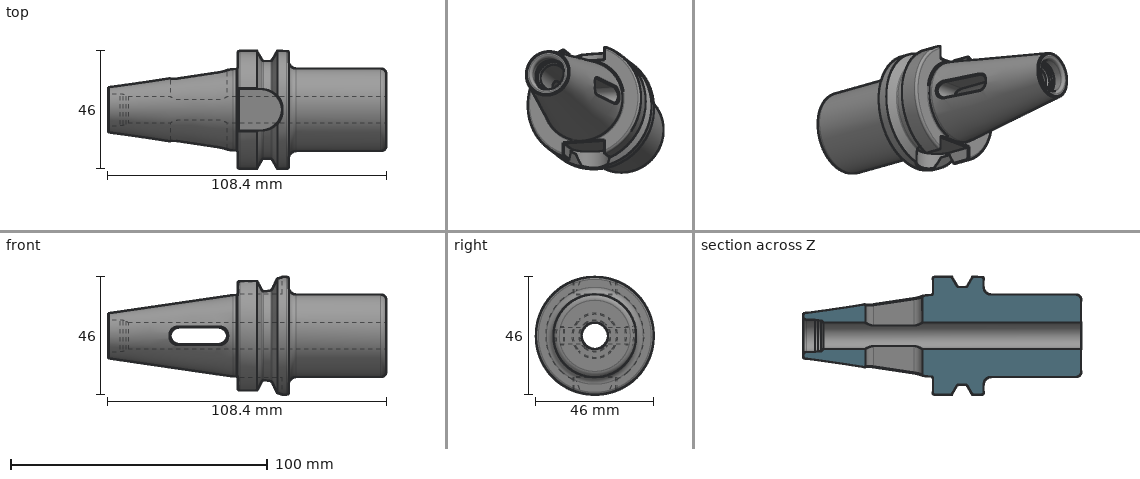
import cadquery as cq
import math

total_length = 108.4
taper_length = 48.4
gauge_diameter = 31.75
taper_ratio = 7 / 24
small_radius = (gauge_diameter - taper_length * taper_ratio) / 2
small_end_chamfer = 0.4


def cone_radius(x):
    """Radius of the outside cone at a distance x from the small end."""
    return small_radius + x * taper_ratio / 2


flange_radius = 23.0
gauge_to_flange = 2.0
flange_width = 20.0
flange_front = taper_length + gauge_to_flange
flange_back = flange_front + flange_width
flange_edge = 1.0
collar_overrun = 0.3
collar_start = taper_length + collar_overrun
collar_radius = cone_radius(collar_start)
collar_root_radius = 0.5

groove_bottom_radius = 19.1
groove_center = 61.9
groove_bottom_width = 3.5
groove_flank_angle = 30.0
groove_corner_radius = 0.5
groove_flank_run = (flange_radius - groove_bottom_radius) * math.tan(math.radians(groove_flank_angle))
groove_bottom_front = groove_center - groove_bottom_width / 2
groove_bottom_back = groove_center + groove_bottom_width / 2
groove_front = groove_bottom_front - groove_flank_run
groove_back = groove_bottom_back + groove_flank_run

nose_radius = 16.15
nose_edge_radius = 2.3
nose_root_radius = 2.75

mouth_radius = 1.25
pilot_radius = 6.25
pilot_end = 4.6
bore_step_count = 2
bore_step_length = 1.2
bore_step_height = 0.15
bore_radius = 5.1
bore_cone_start = pilot_end + bore_step_count * bore_step_length
bore_cone_start_radius = pilot_radius - bore_step_count * bore_step_height
bore_cone_end = bore_cone_start + bore_cone_start_radius - bore_radius

keyway_width = 16.1
keyway_floor = 16.3
keyway_end = 67.7
keyway_chamfer = 0.5
keyway_end_chamfer = 0.3

slot_start = 24.3
slot_length = 22.0
slot_width = 6.3
slot_chamfer = 0.5

margin = 1.0


def box_between(corner, opposite):
    """Edge selector for a box given by any two opposite corners."""
    low = tuple(min(pair) for pair in zip(corner, opposite))
    high = tuple(max(pair) for pair in zip(corner, opposite))
    return cq.selectors.BoxSelector(low, high)


def make_body():
    """Turned outside shape: cone, flange with V-groove, and nose."""
    profile = (
        cq.Workplane("XZ")
        .moveTo(0, 0)
        .lineTo(0, small_radius - small_end_chamfer)
        .lineTo(small_end_chamfer, cone_radius(small_end_chamfer))
        .lineTo(collar_start, collar_radius)
        .lineTo(flange_front - collar_root_radius, collar_radius)
        .radiusArc((flange_front, collar_radius + collar_root_radius), -collar_root_radius)
        .lineTo(flange_front, flange_radius - flange_edge)
        .radiusArc((flange_front + flange_edge, flange_radius), flange_edge)
        .lineTo(groove_front, flange_radius)
        .lineTo(groove_bottom_front, groove_bottom_radius)
        .lineTo(groove_bottom_back, groove_bottom_radius)
        .lineTo(groove_back, flange_radius)
        .lineTo(flange_back - flange_edge, flange_radius)
        .radiusArc((flange_back, flange_radius - flange_edge), flange_edge)
        .lineTo(flange_back, nose_radius + nose_root_radius)
        .radiusArc((flange_back + nose_root_radius, nose_radius), -nose_root_radius)
        .lineTo(total_length - nose_edge_radius, nose_radius)
        .radiusArc((total_length, nose_radius - nose_edge_radius), nose_edge_radius)
        .lineTo(total_length, 0)
        .close()
    )
    body = profile.revolve(360, (0, 0, 0), (1, 0, 0))
    groove_bottom = box_between(
        (groove_bottom_front - margin, -flange_radius, -flange_radius),
        (groove_bottom_back + margin, flange_radius, flange_radius),
    )
    return body.edges(groove_bottom).edges("%CIRCLE").fillet(groove_corner_radius)


def make_bore():
    """Through hole with a round-mouthed, stepped pilot bore at the small end."""
    profile = (
        cq.Workplane("XZ")
        .moveTo(0, 0)
        .lineTo(0, pilot_radius + mouth_radius)
        .radiusArc((mouth_radius, pilot_radius), -mouth_radius)
        .lineTo(pilot_end, pilot_radius)
    )
    for step in range(bore_step_count):
        step_radius = pilot_radius - (step + 1) * bore_step_height
        step_start = pilot_end + step * bore_step_length
        profile = profile.lineTo(step_start, step_radius).lineTo(step_start + bore_step_length, step_radius)
    profile = profile.lineTo(bore_cone_end, bore_radius)
    profile = profile.lineTo(total_length, bore_radius).lineTo(total_length, 0).close()
    return profile.revolve(360, (0, 0, 0), (1, 0, 0))


def cut_keyway(body, side):
    """Cut one round-ended keyway; side is +1 for the top, -1 for the bottom."""
    half_width = keyway_width / 2
    end_center = keyway_end - half_width
    cutter = (
        cq.Workplane("XY", origin=(0, 0, side * keyway_floor))
        .moveTo(flange_front, -half_width)
        .lineTo(end_center, -half_width)
        .threePointArc((keyway_end, 0), (end_center, half_width))
        .lineTo(flange_front, half_width)
        .close()
        .extrude(side * flange_radius)
    )
    return body.cut(cutter)


def chamfer_keyway(body, side):
    """Bevel the keyway's walls and floor on the flange front, and its rim on the flange outside."""
    reach = keyway_width / 2 + margin
    wall_rims = box_between(
        (flange_front - margin / 2, -reach, side * (keyway_floor + margin)),
        (flange_front + margin / 2, reach, side * flange_radius),
    )
    end_rim = box_between(
        (groove_back, -reach, side * (keyway_floor + margin)),
        (keyway_end + margin, reach, side * (flange_radius + margin)),
    )
    floor_bevel = (
        cq.Workplane("XZ")
        .moveTo(flange_front, side * keyway_floor)
        .lineTo(flange_front + keyway_chamfer, side * keyway_floor)
        .lineTo(flange_front, side * (keyway_floor - keyway_chamfer))
        .close()
        .extrude(keyway_width / 2, both=True)
    )
    body = body.edges(wall_rims).chamfer(keyway_chamfer)
    body = body.edges(end_rim).chamfer(keyway_end_chamfer)
    return body.cut(floor_bevel)


def cut_slot(body):
    """Cut the round-ended slot through the cone along Y."""
    cutter = (
        cq.Workplane("XZ", origin=(slot_start + slot_length / 2, 0, 0))
        .slot2D(slot_length, slot_width)
        .extrude(flange_radius, both=True)
    )
    return body.cut(cutter)


def chamfer_slot(body, side):
    """Bevel the slot's rim on the cone; side is +1 or -1 along Y."""
    rim = box_between(
        (slot_start - margin, side * (cone_radius(slot_start) - margin), -slot_width),
        (slot_start + slot_length + margin, side * flange_radius, slot_width),
    )
    return body.edges(rim).chamfer(slot_chamfer)


result = cut_slot(make_body().cut(make_bore()))
for side in (1, -1):
    result = chamfer_slot(result, side)
    result = cut_keyway(result, side)
    result = chamfer_keyway(result, side)